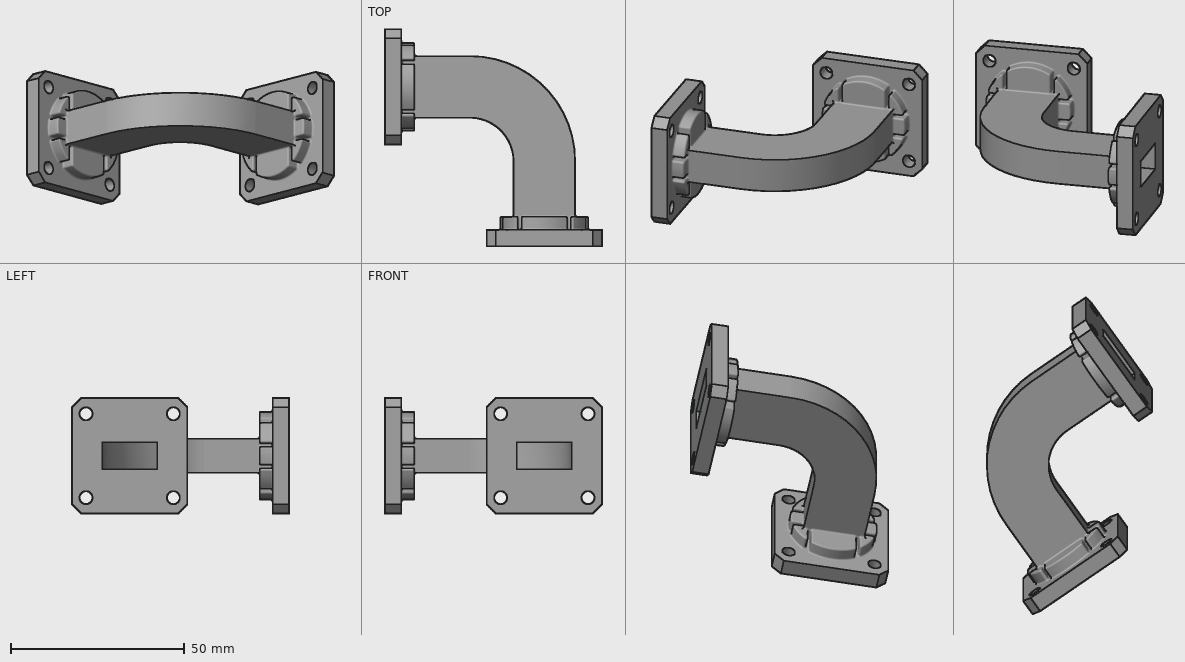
import cadquery as cq

bore_width = 15.8
bore_height = 7.9
tube_width = 17.83
tube_height = 9.93

overall_length = 62.68
flange_size = 33.35
leg_length = overall_length - flange_size / 2
bend_radius = 21.45
bend_angle = 90

flange_thickness = 4.8
flange_chamfer = 2.67
hole_diameter = 3.68
hole_offset_wide = 12.6
hole_offset_narrow = 12.1

collar_radius = 12.7
collar_height = 3.75
slot_width = 1.04
slot_offset_wide = 7.1
slot_offset_narrow = 3.08
slot_floor_wall = 0.15
slot_mouth_radius = 0.6
edge_radius = 0.5

straight_length = leg_length - bend_radius
collar_base = flange_thickness
collar_top = collar_base + collar_height

SIGNS = (-1, 1)
TOLERANCE = 0.01




def flange_plate():
    """Square plate with chamfered corners."""
    plate = cq.Workplane("XY").rect(flange_size, flange_size).extrude(flange_thickness)
    return plate.edges("|Z").chamfer(flange_chamfer)


def cut_slots(collar, offset, tube_half, angle):
    """Cut four slots along the local direction `angle`, two on each side of the tube."""
    floor = tube_half + slot_floor_wall
    length = collar_radius
    middle = floor + length / 2
    centres = [(end * middle, side * offset) for end in SIGNS for side in SIGNS]
    slots = (
        cq.Workplane("XY")
        .workplane(offset=collar_base)
        .pushPoints(centres)
        .slot2D(length, slot_width)
        .extrude(collar_height)
    )
    return collar.cut(slots.rotate((0, 0, 0), (0, 0, 1), angle))


def is_slot_mouth(edge):
    """True for an upright edge where a slot breaks out through the collar's round side."""
    centre = edge.Center()
    return abs((centre.x**2 + centre.y**2) ** 0.5 - collar_radius) < TOLERANCE


def slotted_collar():
    """Collar with rounded slot mouths and a rounded top edge."""
    collar = cq.Workplane("XY").workplane(offset=collar_base).circle(collar_radius).extrude(collar_height)
    collar = cut_slots(collar, slot_offset_wide, tube_height / 2, 90)
    collar = cut_slots(collar, slot_offset_narrow, tube_width / 2, 0)
    mouths = [edge for edge in collar.edges("|Z").vals() if is_slot_mouth(edge)]
    collar = collar.newObject(mouths).fillet(slot_mouth_radius)
    return collar.faces(">Z").edges().fillet(edge_radius)


def edges_in_box(body, size_x, size_y, level):
    """Edges of `body` whose whole extent lies at height `level` within a centred rectangle."""
    reach_x = size_x / 2 + TOLERANCE
    reach_y = size_y / 2 + TOLERANCE
    low = (-reach_x, -reach_y, level - TOLERANCE)
    high = (reach_x, reach_y, level + TOLERANCE)
    return body.edges(cq.selectors.BoxSelector(low, high, boundingbox=True))


def tube_end():
    """Flange, collar and straight tube of one end, with bore and bolt holes."""
    end = flange_plate().union(slotted_collar())
    collar_diameter = 2 * collar_radius
    end = edges_in_box(end, collar_diameter, collar_diameter, collar_base).fillet(edge_radius)

    end = end.union(cq.Workplane("XY").rect(tube_width, tube_height).extrude(straight_length))
    end = edges_in_box(end, tube_width, tube_height, collar_top).fillet(edge_radius)

    end = end.cut(cq.Workplane("XY").rect(bore_width, bore_height).extrude(straight_length))
    holes = (
        cq.Workplane("XY")
        .rect(2 * hole_offset_wide, 2 * hole_offset_narrow, forConstruction=True)
        .vertices()
        .circle(hole_diameter / 2)
        .extrude(flange_thickness)
    )
    return end.cut(holes)


def tube_bend():
    """Quarter turn of tube that joins the two legs."""
    section = (
        cq.Workplane("YZ", origin=(-bend_radius, 0, 0))
        .rect(tube_width, tube_height)
        .rect(bore_width, bore_height)
    )
    axis_start = (-bend_radius, 0)
    axis_end = (-bend_radius, -1)
    return section.revolve(bend_angle, axis_start, axis_end)


x_leg_frame = cq.Plane(origin=(-leg_length, 0, 0), xDir=(0, 1, 0), normal=(1, 0, 0))
y_leg_frame = cq.Plane(origin=(0, -leg_length, 0), xDir=(1, 0, 0), normal=(0, 1, 0))
end = tube_end().val()
x_leg = cq.Workplane(end.moved(cq.Location(x_leg_frame)))
y_leg = cq.Workplane(end.moved(cq.Location(y_leg_frame)))

result = x_leg.union(tube_bend(), clean=False).union(y_leg, clean=False)